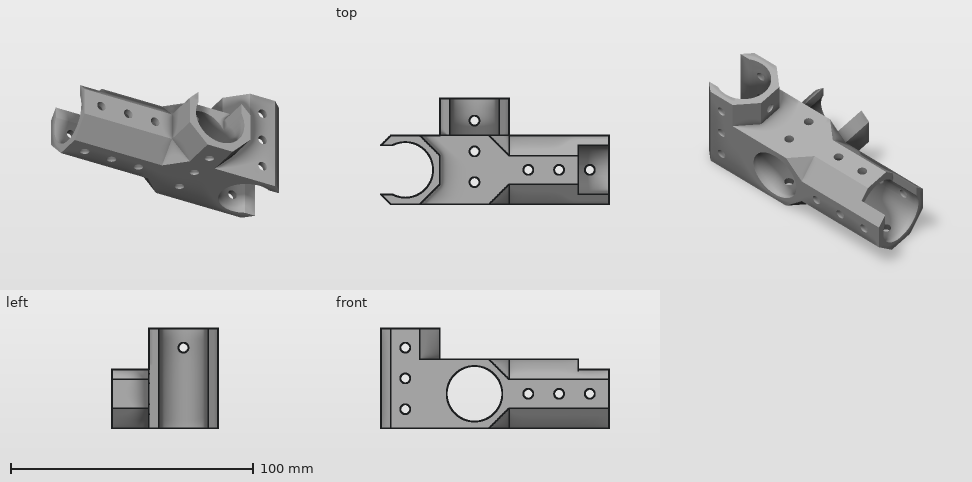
import cadquery as cq
import math


INCH = 25.4
sleeve_width = 1.125 * INCH
bore_diameter = 0.9 * INCH
opening_width = 0.8 * INCH
hole_diameter = 4.0
hole_pitch = 0.5 * INCH
clip_length = 0.5 * INCH
y_clip_length = 0.6 * INCH
hole_count = 3

half_width = sleeve_width / 2
half_flat = half_width * math.tan(math.pi / 8)
bevel = half_width - half_flat
lip_reach = half_width + half_flat - opening_width / 2

z_rod_x = lip_reach
y_rod_x = z_rod_x + sleeve_width
block_end_x = y_rod_x + half_width
sleeve_length = sleeve_width + clip_length
y_sleeve_length = sleeve_width + y_clip_length
end_x = block_end_x + sleeve_length
mid = half_width

hole_span = (hole_count - 1) * hole_pitch
end_margin = (sleeve_length - hole_span) / 2
y_end_margin = (y_sleeve_length - hole_span) / 2

X_DIR = cq.Vector(1, 0, 0)
Y_DIR = cq.Vector(0, 1, 0)
Z_DIR = cq.Vector(0, 0, 1)

x_start = cq.Vector(block_end_x, mid, mid)
y_start = cq.Vector(y_rod_x, 0, mid)
z_start = cq.Vector(z_rod_x, mid, 0)


def box(x_range, y_range, z_range):
    """Box given by its lower and upper limit on each axis."""
    ranges = (x_range, y_range, z_range)
    sizes = [upper - lower for lower, upper in ranges]
    corner = cq.Vector(*[lower for lower, upper in ranges])
    return cq.Workplane(obj=cq.Solid.makeBox(*sizes, corner))


def cylinder(diameter, length, start, direction):
    return cq.Workplane(obj=cq.Solid.makeCylinder(diameter / 2, length, start, direction))


def octagon_sleeve(start, direction, length):
    """Solid octagonal bar with its flats parallel to the main axes."""
    side_direction = Z_DIR if direction == X_DIR else X_DIR
    plane = cq.Plane(origin=start, xDir=side_direction, normal=direction)
    square_bar = cq.Workplane(plane).rect(sleeve_width, sleeve_width).extrude(length)
    return square_bar.edges(cq.selectors.ParallelDirSelector(direction)).chamfer(bevel)


def block():
    """Square block joining the sleeves, with the corners toward the X sleeve cut off."""
    body = box((z_rod_x, block_end_x), (0, sleeve_width), (0, sleeve_width))
    for y_corner, y_inward in ((0, bevel), (sleeve_width, -bevel)):
        for z_corner, z_inward in ((0, bevel), (sleeve_width, -bevel)):
            body = body.cut(corner_wedge(y_corner, y_inward, z_corner, z_inward))
    return body


def corner_wedge(y_corner, y_inward, z_corner, z_inward):
    """Tetrahedron at one corner of the block's +X end."""
    corner = cq.Vector(block_end_x, y_corner, z_corner)
    along_x = corner - X_DIR * bevel
    along_y = corner + Y_DIR * y_inward
    along_z = corner + Z_DIR * z_inward
    triangles = (
        (corner, along_x, along_y),
        (corner, along_y, along_z),
        (corner, along_z, along_x),
        (along_x, along_y, along_z),
    )
    faces = [cq.Face.makeFromWires(cq.Wire.makePolygon(points, close=True)) for points in triangles]
    return cq.Workplane(obj=cq.Solid.makeSolid(cq.Shell.makeShell(faces)))


def cut_clip_mouths(body):
    """Open the Z sleeve toward -X over its full length, and the ends of the others toward +Z."""
    mouth = (mid - opening_width / 2, mid + opening_width / 2)
    y_clip_mouth = (y_rod_x - opening_width / 2, y_rod_x + opening_width / 2)
    above_axis = (mid, sleeve_width)
    body = body.cut(box((z_rod_x - half_width, z_rod_x), mouth, (0, sleeve_length)))
    body = body.cut(box(y_clip_mouth, (sleeve_width, y_sleeve_length), above_axis))
    return body.cut(box((end_x - clip_length, end_x), mouth, above_axis))


def cut_bores(body):
    body = body.cut(cylinder(bore_diameter, sleeve_length, x_start, X_DIR))
    body = body.cut(cylinder(bore_diameter, y_sleeve_length, y_start, Y_DIR))
    return body.cut(cylinder(bore_diameter, sleeve_length, z_start, Z_DIR))


def cut_cross_holes(body, rod_start, rod_direction, margin, hole_direction):
    """Row of screw holes right across a sleeve, through the rod axis."""
    for index in range(hole_count):
        on_axis = rod_start + rod_direction * (margin + index * hole_pitch)
        hole_start = on_axis - hole_direction * half_width
        body = body.cut(cylinder(hole_diameter, sleeve_width, hole_start, hole_direction))
    return body


def cut_back_hole(body, rod_start, rod_direction, distance):
    """Single screw hole through the +X wall of a sleeve."""
    hole_start = rod_start + rod_direction * distance
    return body.cut(cylinder(hole_diameter, half_width, hole_start, X_DIR))


result = block()
result = result.union(octagon_sleeve(x_start, X_DIR, sleeve_length))
result = result.union(octagon_sleeve(y_start, Y_DIR, y_sleeve_length))
result = result.union(octagon_sleeve(z_start, Z_DIR, sleeve_length))
result = cut_clip_mouths(result)
result = cut_bores(result)
result = cut_cross_holes(result, x_start, X_DIR, end_margin, Y_DIR)
result = cut_cross_holes(result, x_start, X_DIR, end_margin, Z_DIR)
result = cut_cross_holes(result, y_start, Y_DIR, y_end_margin, Z_DIR)
result = cut_cross_holes(result, z_start, Z_DIR, end_margin, Y_DIR)
result = cut_back_hole(result, z_start, Z_DIR, end_margin + hole_span)
result = cut_back_hole(result, y_start, Y_DIR, y_end_margin)